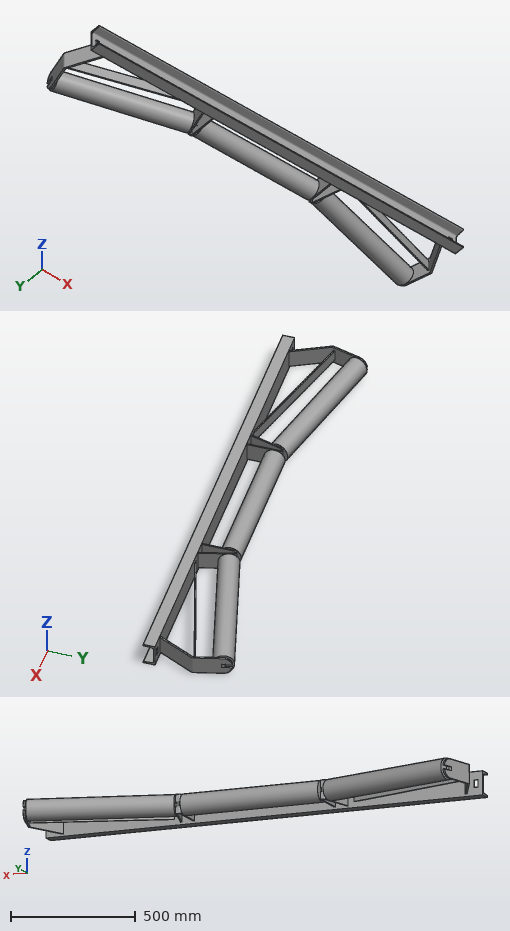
import cadquery as cq
import math


BEAM_LENGTH = 1904.0
BEAM_WIDTH = 100.0
BEAM_HEIGHT = 50.0
WEB_THICKNESS = 6.0
FLANGE_THICKNESS = 9.0
FLANGE_SLOPE = 0.08
ROOT_RADIUS = 8.5
TOE_RADIUS = 3.0
BOLT_SLOT_X = 922.0
BOLT_SLOT_WIDTH = 17.0
BOLT_SLOT_LENGTH = 30.0

ROLLER_DIAMETER = 89.0
ROLLER_LENGTH = 600.0
SHAFT_SIDE = 16.0
INNER_GAP = 4.0
OUTER_GAP = 5.0
CENTRE_ROLLER_Y = 166.5
WING_ANGLE = 15.0
WING_X = -626.0
WING_TOP_Y = 369.36

BAR_WIDTH = 80.0
OUTER_BAR = 8.0
HEAD_DROP = 2.0
OUTER_BEND_RADIUS = 16.0
OUTER_CORNER_DROP = 125.6
OUTER_FOOT_X = -884.0
INNER_BAR = 6.0
INNER_TOP_Y = 195.0
INNER_BEND_RADIUS = 5.0
STRUT_BAR = 6.0
STRUT_WIDTH = 50.0
STRUT_DROP = 112.0
STRUT_FOOT_X = -391.0

ROLLER_RADIUS = ROLLER_DIAMETER / 2
SLOPE_COS = math.cos(math.radians(WING_ANGLE))
SLOPE_SIN = math.sin(math.radians(WING_ANGLE))
WING_Y = WING_TOP_Y - ROLLER_RADIUS * SLOPE_COS - ROLLER_LENGTH / 2 * SLOPE_SIN
REACH = 2 * ROLLER_LENGTH


def wing_point(along, across):
    """Point given along and across the left roller's axis, measured from its middle."""
    return (
        WING_X + along * SLOPE_COS + across * SLOPE_SIN,
        WING_Y - along * SLOPE_SIN + across * SLOPE_COS,
    )


def onto_wing(body):
    """Carry a body built around the X axis to the left roller's place."""
    return body.rotate((0, 0, 0), (0, 0, 1), -WING_ANGLE).translate((WING_X, WING_Y, 0))


def meet(p, p_direction, q, q_direction):
    """Point where two lines cross."""
    cross = p_direction[0] * q_direction[1] - p_direction[1] * q_direction[0]
    step = ((q[0] - p[0]) * q_direction[1] - (q[1] - p[1]) * q_direction[0]) / cross
    return (p[0] + step * p_direction[0], p[1] + step * p_direction[1])


def bar_strip(path, thickness, width=BAR_WIDTH):
    """Flat bar whose face follows the path, with its thickness on the right of the path."""
    directions = []
    offsets = []
    for (x0, y0), (x1, y1) in zip(path, path[1:]):
        length = math.hypot(x1 - x0, y1 - y0)
        direction = ((x1 - x0) / length, (y1 - y0) / length)
        directions.append(direction)
        offsets.append((x0 + direction[1] * thickness, y0 - direction[0] * thickness))
    far_side = [offsets[0]]
    for i in range(1, len(directions)):
        far_side.append(meet(offsets[i - 1], directions[i - 1], offsets[i], directions[i]))
    end = path[-1]
    far_side.append((end[0] + directions[-1][1] * thickness, end[1] - directions[-1][0] * thickness))
    outline = path + far_side[::-1]
    return cq.Workplane("XY", origin=(0, 0, -width / 2)).polyline(outline).close().extrude(width)


def trim_at_beam(bar):
    """Cut a bar off flush with the top of the beam."""
    below = cq.Workplane("XY").box(REACH * 2, REACH, REACH).translate((0, BEAM_HEIGHT - REACH / 2, 0))
    return bar.cut(below)


def make_beam():
    """Channel with a rectangular bolt slot through the web near each end."""
    half = BEAM_WIDTH / 2
    taper = FLANGE_SLOPE * BEAM_HEIGHT / 2
    toe_z = half - FLANGE_THICKNESS + taper
    root_z = half - FLANGE_THICKNESS - taper + FLANGE_SLOPE * WEB_THICKNESS
    web_y = BEAM_HEIGHT - WEB_THICKNESS
    outline = [
        (0, half), (BEAM_HEIGHT, half), (BEAM_HEIGHT, -half), (0, -half),
        (0, -toe_z), (web_y, -root_z), (web_y, root_z), (0, toe_z),
    ]
    beam = cq.Workplane("YZ").polyline(outline).close().extrude(BEAM_LENGTH / 2, both=True)
    for side in (1, -1):
        beam = beam.edges(cq.NearestToPointSelector((0, web_y, side * root_z))).fillet(ROOT_RADIUS)
        beam = beam.edges(cq.NearestToPointSelector((0, 0, side * toe_z))).fillet(TOE_RADIUS)
    slots = (
        cq.Workplane("XZ")
        .pushPoints([(-BOLT_SLOT_X, 0), (BOLT_SLOT_X, 0)])
        .rect(BOLT_SLOT_WIDTH, BOLT_SLOT_LENGTH)
        .extrude(-BEAM_HEIGHT)
    )
    return beam.cut(slots)


def make_roller(left_shaft, right_shaft):
    """Roller on the X axis with square shaft ends of the given lengths."""
    half = ROLLER_LENGTH / 2
    roller = cq.Workplane("YZ", origin=(-half, 0, 0)).circle(ROLLER_RADIUS).extrude(ROLLER_LENGTH)
    for side, length in ((-1, left_shaft), (1, right_shaft)):
        end_face = cq.Workplane("YZ", origin=(side * half, 0, 0))
        roller = roller.union(end_face.rect(SHAFT_SIDE, SHAFT_SIDE).extrude(side * length))
    return roller


def shaft_slot(start, end):
    """Cutter for an upward-open shaft slot between two places along the X axis."""
    return cq.Workplane("XY").box(end - start, REACH, SHAFT_SIDE).translate(
        ((start + end) / 2, (REACH - SHAFT_SIDE) / 2, 0))


def rounded_head():
    """Envelope of a bracket whose top is round about the X axis."""
    return (
        cq.Workplane("YZ")
        .moveTo(0, BAR_WIDTH / 2)
        .threePointArc((BAR_WIDTH / 2, 0), (0, -BAR_WIDTH / 2))
        .lineTo(-REACH, -BAR_WIDTH / 2)
        .lineTo(-REACH, BAR_WIDTH / 2)
        .close()
        .extrude(REACH, both=True)
    )


def make_outer_bracket():
    """Bent bar from the beam up to the outer end of the left roller."""
    end = ROLLER_LENGTH / 2 + OUTER_GAP
    face = -end - OUTER_BAR
    corner = wing_point(face, -OUTER_CORNER_DROP)
    tip = wing_point(face, BAR_WIDTH / 2 - HEAD_DROP)
    slope = (OUTER_FOOT_X - corner[0]) / (BEAM_HEIGHT - corner[1])
    foot = (OUTER_FOOT_X - slope * BEAM_HEIGHT, 0)
    bar = bar_strip([foot, corner, tip], OUTER_BAR)
    bar = bar.edges(cq.NearestToPointSelector((*corner, 0))).fillet(OUTER_BEND_RADIUS)
    bar = bar.edges("|Z").edges(
        cq.NearestToPointSelector((corner[0] + OUTER_BAR, corner[1], 0))
    ).fillet(OUTER_BEND_RADIUS - OUTER_BAR)
    slot = shaft_slot(face, -end)
    head = rounded_head().translate((0, -HEAD_DROP, 0))
    return trim_at_beam(bar).intersect(onto_wing(head)).cut(onto_wing(slot))


def make_inner_bracket():
    """Bar bent over into an inverted U between the left and centre rollers."""
    end = ROLLER_LENGTH / 2 + INNER_GAP
    level_x = -end
    up = (SLOPE_SIN, SLOPE_COS)
    wing_face = wing_point(end, 0)
    foot = meet(wing_face, up, (0, 0), (1, 0))
    shoulder = meet(wing_face, up, (0, INNER_TOP_Y), (1, 0))
    bar = bar_strip([foot, shoulder, (level_x, INNER_TOP_Y), (level_x, 0)], INNER_BAR)
    for x in (shoulder[0], level_x):
        bar = bar.edges(cq.NearestToPointSelector((x, INNER_TOP_Y, 0))).fillet(INNER_BEND_RADIUS)
    wing_slot = onto_wing(shaft_slot(end, end + INNER_BAR))
    level_slot = shaft_slot(-end - INNER_BAR, -end).translate((0, CENTRE_ROLLER_Y, 0))
    return trim_at_beam(bar).cut(wing_slot).cut(level_slot)


def make_strut():
    """Narrow bar bracing the outer bracket against the beam."""
    end = ROLLER_LENGTH / 2 + OUTER_GAP
    start = wing_point(-end, -STRUT_DROP)
    direction = (STRUT_FOOT_X - start[0], BEAM_HEIGHT - start[1])
    back = (start[0] - direction[0], start[1] - direction[1])
    front = (STRUT_FOOT_X + direction[0], BEAM_HEIGHT + direction[1])
    bar = trim_at_beam(bar_strip([back, front], STRUT_BAR, STRUT_WIDTH))
    outside = cq.Workplane("XY").box(REACH, REACH, REACH).translate((-end - REACH / 2, 0, 0))
    return bar.cut(onto_wing(outside))


beam = make_beam()
inner_shaft = INNER_GAP + INNER_BAR
outer_shaft = OUTER_GAP + OUTER_BAR
centre_roller = make_roller(inner_shaft, inner_shaft).translate((0, CENTRE_ROLLER_Y, 0))
left_wing = [
    onto_wing(make_roller(outer_shaft, inner_shaft)),
    make_outer_bracket(),
    make_inner_bracket(),
    make_strut(),
]

bodies = [beam.solids().val(), centre_roller.solids().val()]
for body in left_wing:
    bodies.append(body.solids().val())
    bodies.append(body.mirror("YZ").solids().val())

result = cq.Compound.makeCompound(bodies)